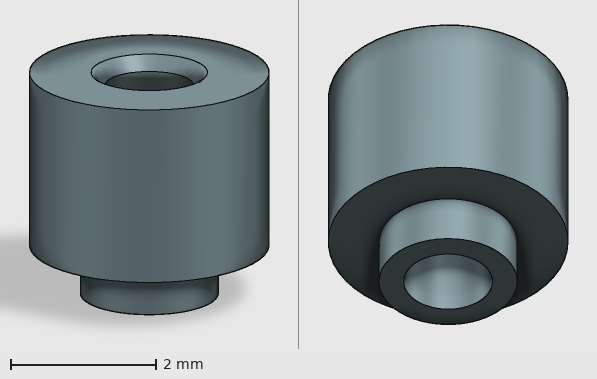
import cadquery as cq

body_diameter = 3.3
neck_diameter = 1.9
bore_diameter = 1.22
countersink_diameter = 1.6
total_height = 3.2
neck_height = 0.7

countersink_size = (countersink_diameter - bore_diameter) / 2
body_height = total_height - neck_height

neck = cq.Workplane("XY").circle(neck_diameter / 2).extrude(neck_height)
spacer = neck.faces(">Z").workplane().circle(body_diameter / 2).extrude(body_height)

bored = spacer.faces(">Z").workplane().circle(bore_diameter / 2).cutThruAll()
bore_rim = cq.selectors.RadiusNthSelector(0)
result = bored.faces(">Z").edges(bore_rim).chamfer(countersink_size)